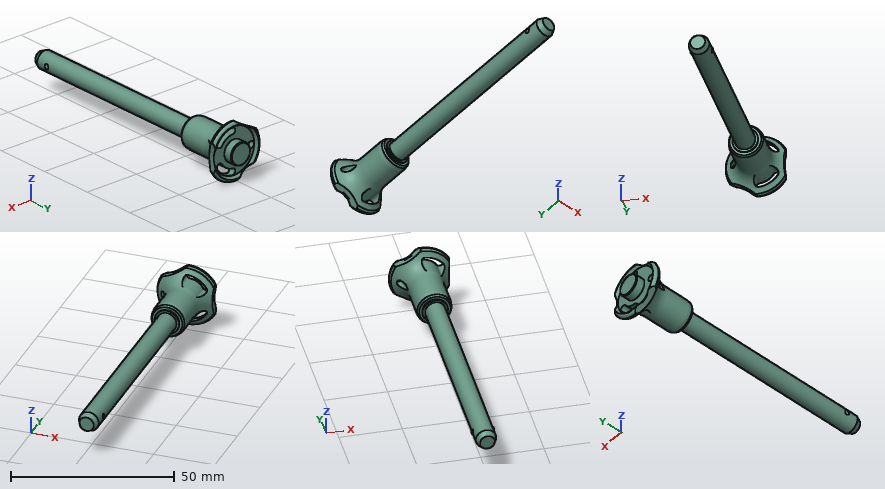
import cadquery as cq
import math

length = 93.5

button_radius = 3.9
button_chamfer = 0.3
shank_radius = 6.45 / 2
tip_radius = 2.3
tip_length = 2.0
collar_radius = 4.0
collar_end_y = -22.6

ball_radius = 1.1
ball_protrusion = 0.4
ball_y = -87.2

sleeve_radius = 5.6
sleeve_end_y = -22.15
sleeve_taper_start_y = -20.1
sleeve_taper_end_y = -21.5
sleeve_taper_radius = 5.4
sleeve_face_radius = 5.0
flare_start_y = -11.3
flare_mid = (7.0, -6.7)
rim_radius = 20.3 / 2
rim_mid_y = -3.5
rim_under = (9.7, -4.4)
rim_crest = (9.1, -2.15)
rim_outer_mid = (9.8, -2.5)
dish_radius = 8.2
dish_y = -3.3

scallop_angles = (0, 120, 240)
scallop_half_angle = math.radians(30)
scallop_mid_radius = 8.4

hole_radius = 1.2
hole_offset = 6.9
slot_inner_radius = 5.8
slot_outer_radius = 8.0
slot_end_angles = (33, 85)


def revolve_about_y(profile):
    return profile.close().revolve(360, (0, 0, 0), (0, 1, 0))


def make_handle():
    profile = (
        cq.Workplane("XY")
        .moveTo(0, dish_y)
        .lineTo(dish_radius, dish_y)
        .lineTo(*rim_crest)
        .threePointArc(rim_outer_mid, (rim_radius, rim_mid_y))
        .lineTo(*rim_under)
        .threePointArc(flare_mid, (sleeve_radius, flare_start_y))
        .lineTo(sleeve_radius, sleeve_taper_start_y)
        .lineTo(sleeve_taper_radius, sleeve_taper_end_y)
        .lineTo(sleeve_face_radius, sleeve_end_y)
        .lineTo(0, sleeve_end_y)
    )
    return revolve_about_y(profile)


def axial_sketch():
    """Plane across the axis at y = 0: local x is X, local y is Z, extrusion runs toward -Y."""
    return cq.Workplane("XZ")


def make_scallop(angle):
    end_x = rim_radius * math.cos(scallop_half_angle)
    end_z = rim_radius * math.sin(scallop_half_angle)
    outer_x = 2 * rim_radius
    return (
        axial_sketch()
        .moveTo(end_x, -end_z)
        .threePointArc((scallop_mid_radius, 0), (end_x, end_z))
        .lineTo(outer_x, end_z)
        .lineTo(outer_x, -end_z)
        .close()
        .extrude(-flare_start_y)
        .rotate((0, 0, 0), (0, 1, 0), angle)
    )


def polar(radius, degrees):
    angle = math.radians(degrees)
    return radius * math.cos(angle), radius * math.sin(angle)


def make_slot():
    """Curved slot concentric with the pin, with round ends."""
    start, end = slot_end_angles
    middle = (start + end) / 2
    centre_radius = (slot_inner_radius + slot_outer_radius) / 2
    end_round_angle = math.degrees((slot_outer_radius - slot_inner_radius) / 2 / centre_radius)
    return (
        axial_sketch()
        .moveTo(*polar(slot_inner_radius, start))
        .threePointArc(polar(slot_inner_radius, middle), polar(slot_inner_radius, end))
        .threePointArc(polar(centre_radius, end + end_round_angle), polar(slot_outer_radius, end))
        .threePointArc(polar(slot_outer_radius, middle), polar(slot_outer_radius, start))
        .threePointArc(polar(centre_radius, start - end_round_angle), polar(slot_inner_radius, start))
        .close()
        .extrude(-flare_start_y)
    )


def make_pin():
    """Button, core, collar and shank with a tapered tip."""
    profile = (
        cq.Workplane("XY")
        .lineTo(button_radius - button_chamfer, 0)
        .lineTo(button_radius, -button_chamfer)
        .lineTo(button_radius, sleeve_end_y)
        .lineTo(collar_radius, sleeve_end_y)
        .lineTo(collar_radius, collar_end_y)
        .lineTo(shank_radius, collar_end_y)
        .lineTo(shank_radius, tip_length - length)
        .lineTo(tip_radius, -length)
        .lineTo(0, -length)
    )
    return revolve_about_y(profile)


def make_ball(side):
    centre_x = side * (shank_radius + ball_protrusion - ball_radius)
    return cq.Workplane("XY").sphere(ball_radius).translate((centre_x, ball_y, 0))


handle = make_handle()
for angle in scallop_angles:
    handle = handle.cut(make_scallop(angle))

slot = make_slot()
handle = handle.cut(slot).cut(slot.mirror("XY"))

hole = axial_sketch().center(-hole_offset, 0).circle(hole_radius).extrude(-flare_start_y)
handle = handle.cut(hole)

result = handle.union(make_pin())
for side in (-1, 1):
    result = result.union(make_ball(side))